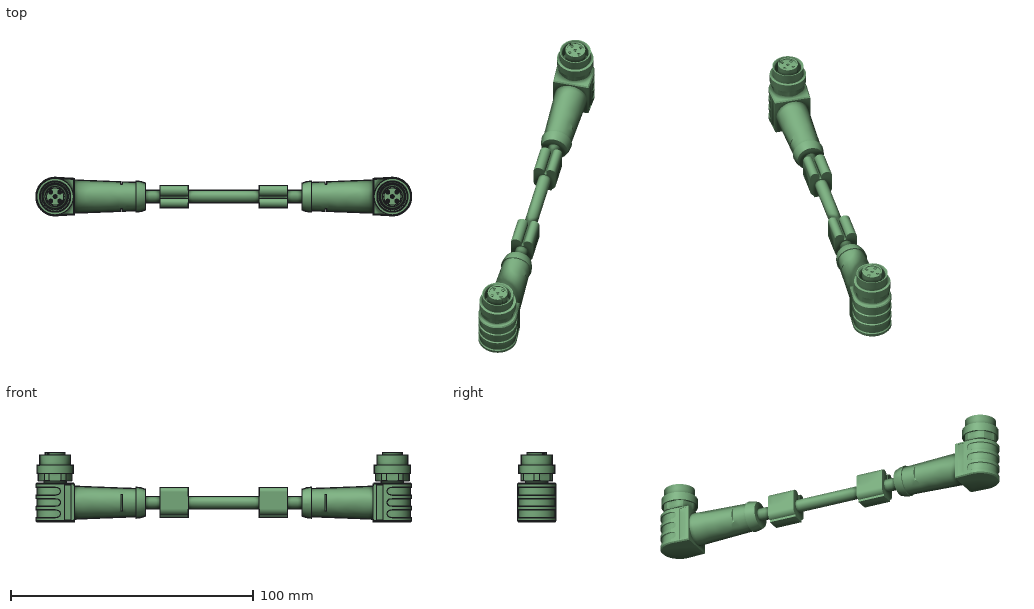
import cadquery as cq
import math

total_length = 155.1
cable_diameter = 5.3
cable_overlap = 1.5
axis_height = 7.9
cut_margin = 1.5

head_diameter = 16.0
head_radius = head_diameter / 2
head_height = 16.0
head_x = -total_length / 2 + head_radius
block_length = head_radius
block_width = 15.0
block_chamfer = 0.5
groove_floor_radius = block_width / 2
groove_height = 3.0
groove_wall_slope = 0.5
groove_bottoms = (1.9, 6.5, 11.2)
groove_reach = 2.2
panel_start = 3.9
panel_length = 2.6
panel_bottom = 0.8
panel_height = 14.5
panel_depth = 0.3

neck_diameter = 9.3
neck_top = 16.8
nut_diameter = 14.0
nut_across_flats = 13.0
nut_chamfer = 0.3
collar_diameter = 15.0
collar_bottom = 20.0
collar_top = 23.5
sleeve_diameter = 12.9
sleeve_top = 27.6
mouth_diameter = 12.3
mouth_depth = 0.6
bore_diameter = 11.0
bore_floor = 21.7

insert_diameter = 8.2
insert_top = 28.7
insert_recess_diameter = 7.1
insert_face = 28.2
key_width = 1.0
key_depth = 0.6
key_floor = 23.3
key_angle = -135
contact_circle_radius = 2.6
contact_diameter = 0.7
contact_depth = 3.1
contact_mouth_diameter = 1.5
contact_mouth_depth = 0.5
seal_ring_radius = 4.5
seal_section_radius = 0.55
seal_height = 22.0

grip_root_diameter = 13.8
grip_tip_diameter = 11.8
grip_tip_x = 33.4
grip_collar_diameter = 12.9
grip_bulge_radius = 6.2
grip_end_diameter = 11.0
grip_end_x = 37.4
notch_x = 27.5
notch_width = 0.6
notch_floor_y = 5.1

clip_length = 11.8
clip_center = 20.5
clip_half_width = 4.7
clip_shoulder_z = 12.3
clip_side_bottom_z = 5.3
clip_flank_y = 4.0
clip_flank_z = 3.5
clip_top_z = 14.3
clip_slot_y = (-0.8, 0.2)
clip_slot_edge_z = 12.7
clip_slot_floor_z = 11.2
clip_foot_half_width = 3.0
clip_foot_height = 1.0
clip_bottom_z = 1.9


def cylinder(diameter, bottom, top):
    return cq.Workplane("XY").workplane(offset=bottom).circle(diameter / 2).extrude(top - bottom)


def make_groove(bottom):
    """Cutter for a slope-walled band around the half-round front and a rounded pocket in each block side."""
    top = bottom + groove_height
    end_radius = groove_height / 2
    outer = head_radius + cut_margin
    flare = groove_wall_slope * (outer - groove_floor_radius)
    band = (
        cq.Workplane("XZ")
        .moveTo(groove_floor_radius, bottom)
        .lineTo(outer, bottom - flare)
        .lineTo(outer, top + flare)
        .lineTo(groove_floor_radius, top)
        .close()
        .revolve(180, (0, 0, 0), (0, 1, 0))
        .rotate((0, 0, 0), (0, 0, 1), 90)
    )
    pocket = (
        cq.Workplane("XZ", origin=(0, -groove_floor_radius, 0))
        .moveTo(0, bottom)
        .lineTo(groove_reach - end_radius, bottom)
        .threePointArc((groove_reach, bottom + end_radius), (groove_reach - end_radius, top))
        .lineTo(0, top)
        .close()
        .extrude(cut_margin)
    )
    return band.union(pocket).union(pocket.mirror("XZ"))


def make_head():
    half_width = block_width / 2
    head = (
        cq.Workplane("XY")
        .moveTo(0, head_radius)
        .threePointArc((-head_radius, 0), (0, -head_radius))
        .lineTo(block_length, -half_width)
        .lineTo(block_length, half_width)
        .close()
        .extrude(head_height)
    )
    block_zone = cq.selectors.BoxSelector(
        (cut_margin, -head_radius, -cut_margin),
        (head_radius + cut_margin, head_radius, head_height + cut_margin),
    )
    head = head.faces(">Z").edges(block_zone).chamfer(block_chamfer)
    head = head.faces("<Z").edges(block_zone).edges("not |Y").chamfer(block_chamfer)
    for bottom in groove_bottoms:
        head = head.cut(make_groove(bottom))
    for side in (-1, 1):
        panel = (
            cq.Workplane("XY")
            .box(panel_length, 2 * panel_depth, panel_height, centered=(False, True, False))
            .translate((panel_start, side * (half_width + panel_depth / 2), panel_bottom))
        )
        head = head.cut(panel)
    return head


def make_nut():
    nut = cylinder(nut_diameter, neck_top, collar_bottom).faces("<Z").chamfer(nut_chamfer)
    hexagon = (
        cq.Workplane("XY")
        .workplane(offset=neck_top)
        .polygon(6, nut_across_flats / math.cos(math.pi / 6))
        .extrude(collar_bottom - neck_top)
    )
    flats = cylinder(2 * nut_diameter, neck_top, collar_bottom).cut(hexagon)
    collar = cylinder(collar_diameter, collar_bottom, collar_top)
    lead_in = (
        cq.Workplane("XY", origin=(0, 0, sleeve_top - mouth_depth))
        .circle(bore_diameter / 2)
        .workplane(offset=mouth_depth)
        .circle(mouth_diameter / 2)
        .loft()
    )
    return (
        nut.cut(flats)
        .union(cylinder(neck_diameter, head_height, neck_top))
        .union(collar)
        .union(cylinder(sleeve_diameter, collar_top, sleeve_top))
        .cut(cylinder(bore_diameter, bore_floor, sleeve_top))
        .cut(lead_in)
    )


def make_contact_hole():
    """Cutter for one contact hole with a wider mouth, on the insert axis."""
    mouth = cylinder(contact_mouth_diameter, insert_face - contact_mouth_depth, insert_face)
    return mouth.union(cylinder(contact_diameter, insert_face - contact_depth, insert_face))


def make_insert():
    key = (
        cq.Workplane("XY")
        .box(2 * key_depth, key_width, insert_top - key_floor, centered=(True, True, False))
        .translate((insert_diameter / 2, 0, key_floor))
        .rotate((0, 0, 0), (0, 0, 1), key_angle)
    )
    insert = (
        cylinder(insert_diameter, bore_floor, insert_top)
        .cut(cylinder(insert_recess_diameter, insert_face, insert_top))
        .cut(key)
        .cut(make_contact_hole())
    )
    for angle in (45, 135, 225, 315):
        hole = make_contact_hole().translate((contact_circle_radius, 0, 0))
        insert = insert.cut(hole.rotate((0, 0, 0), (0, 0, 1), angle))
    seal = cq.Workplane("XY").add(
        cq.Solid.makeTorus(seal_ring_radius, seal_section_radius, cq.Vector(0, 0, seal_height))
    )
    return insert.union(seal)


def make_grip():
    root_x = block_length - block_chamfer
    mid_x = (grip_tip_x + grip_end_x) / 2
    grip = (
        cq.Workplane("XY")
        .moveTo(root_x, 0)
        .lineTo(root_x, grip_root_diameter / 2)
        .lineTo(grip_tip_x, grip_tip_diameter / 2)
        .lineTo(grip_tip_x, grip_collar_diameter / 2)
        .threePointArc((mid_x, grip_bulge_radius), (grip_end_x, grip_end_diameter / 2))
        .lineTo(grip_end_x, 0)
        .close()
        .revolve(360, (0, 0, 0), (1, 0, 0))
    )
    for side in (-1, 1):
        notch = cq.Workplane("XY").box(notch_width, 2 * cut_margin, grip_root_diameter)
        grip = grip.cut(notch.translate((notch_x, side * (notch_floor_y + cut_margin), 0)))
    return grip.translate((0, 0, axis_height))


def make_clip():
    slot_start, slot_end = clip_slot_y
    side = clip_half_width
    foot_top = clip_bottom_z + clip_foot_height
    return (
        cq.Workplane("YZ")
        .moveTo(-side, clip_side_bottom_z)
        .lineTo(-side, clip_shoulder_z)
        .threePointArc(((slot_start - side) / 2, clip_top_z), (slot_start, clip_slot_edge_z))
        .lineTo(slot_start, clip_slot_floor_z)
        .lineTo(slot_end, clip_slot_floor_z)
        .lineTo(slot_end, clip_slot_edge_z)
        .threePointArc(((slot_end + side) / 2, clip_top_z), (side, clip_shoulder_z))
        .lineTo(side, clip_side_bottom_z)
        .threePointArc((clip_flank_y, clip_flank_z), (clip_foot_half_width, foot_top))
        .lineTo(clip_foot_half_width, clip_bottom_z)
        .lineTo(-clip_foot_half_width, clip_bottom_z)
        .lineTo(-clip_foot_half_width, foot_top)
        .threePointArc((-clip_flank_y, clip_flank_z), (-side, clip_side_bottom_z))
        .close()
        .extrude(clip_length / 2, both=True)
    )


def make_plug():
    plug = make_head().union(make_nut()).union(make_insert()).union(make_grip())
    return plug.translate((head_x, 0, 0))


plug = make_plug()
cable_end = head_x + grip_end_x - cable_overlap
cable = (
    cq.Workplane("YZ", origin=(0, 0, axis_height))
    .circle(cable_diameter / 2)
    .extrude(-cable_end, both=True)
)
result = cable.union(plug).union(plug.rotate((0, 0, 0), (0, 0, 1), 180))
for x in (-clip_center, clip_center):
    result = result.union(make_clip().translate((x, 0, 0)))